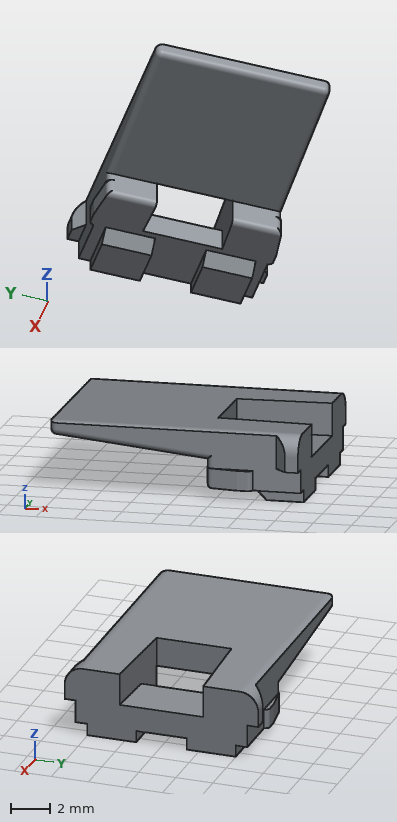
import cadquery as cq

length = 13.1
half_width = 4.64
edge_radius = 0.31

nose_depth = 0.71
fin_root_depth = 1.56
step_x = 8.17
block_depth = 3.03

wing_half_width = 5.23
wing_start_x = 11.83
wing_depth = 1.82
top_radius = 1.0

bump_top_depth = 1.99
bump_half_width = 4.87
bump_peak_x = 9.82
bump_shoulder_x = 10.47
bump_end_x = 10.61
bump_corner_radius = 0.2

window_front_half_width = 2.02
window_back_half_width = 2.25
shelf_x = 10.23
shelf_depth = 1.7

total_depth = 3.65
foot_start_x = 10.55
foot_inner_y = 1.36
foot_outer_y = 4.01


def plan_prism(points, top_depth, bottom_depth):
    """Extrude an XY outline between two depths below the top face."""
    height = bottom_depth - top_depth
    return cq.Workplane("XY").workplane(offset=-bottom_depth).polyline(points).close().extrude(height)


def side_prism(points, y_start, y_end):
    """Extrude an XZ outline between two Y positions."""
    return cq.Workplane("XZ", origin=(0, y_end, 0)).polyline(points).close().extrude(y_end - y_start)


def mirrored(points):
    """Close a +Y half outline with its reflection in the XZ plane."""
    return points + [(x, -y) for x, y in reversed(points)]


def make_upper_body():
    profile = [
        (0, 0),
        (length, 0),
        (length, -bump_top_depth),
        (step_x, -bump_top_depth),
        (step_x, -fin_root_depth),
        (0, -nose_depth),
    ]
    body = side_prism(profile, -half_width, half_width)
    side_limit = half_width - edge_radius
    front_edges = body.edges("|Z").edges(cq.selectors.BoxSelector(
        (-0.13, -half_width - 0.13, -total_depth), (step_x + 0.13, half_width + 0.13, 0.13)))
    nose_edge = body.edges("|Y").edges(cq.selectors.BoxSelector(
        (-0.13, -side_limit, -nose_depth - 0.13), (0.13, side_limit, -nose_depth + 0.13)))
    slope_edges = body.edges("not(|X or |Y or |Z)")
    return body.newObject(front_edges.vals() + nose_edge.vals() + slope_edges.vals()).fillet(edge_radius)


def make_lower_block():
    outline = mirrored([
        (step_x, half_width),
        (bump_peak_x, bump_half_width),
        (bump_shoulder_x, bump_half_width),
        (bump_end_x, half_width),
        (length, half_width),
    ])
    block = plan_prism(outline, bump_top_depth, block_depth)
    for side in (-1, 1):
        corner = (bump_shoulder_x, side * bump_half_width, -block_depth)
        block = block.edges("|Z").edges(cq.NearestToPointSelector(corner)).fillet(bump_corner_radius)
    front_face = block.faces("<X")
    front_edges = front_face.edges("|Z").vals() + front_face.edges("<Z").vals()
    return block.newObject(front_edges).fillet(edge_radius)


def make_wings():
    wing_overhang = wing_half_width - half_width
    outline = mirrored([
        (wing_start_x, half_width),
        (wing_start_x + wing_overhang, wing_half_width),
        (length, wing_half_width),
    ])
    return plan_prism(outline, 0, wing_depth)


def make_rounded_envelope():
    envelope = cq.Workplane("XY").box(
        length, 2 * wing_half_width, total_depth, centered=(False, True, False))
    envelope = envelope.translate((0, 0, -total_depth))
    return envelope.faces(">Z").edges("|X").fillet(top_radius)


def make_window():
    outline = mirrored([(step_x, window_front_half_width), (length, window_back_half_width)])
    opening = plan_prism(outline, 0, block_depth)
    shelf = cq.Workplane("XY").box(
        length - shelf_x, 2 * window_back_half_width, block_depth - shelf_depth, centered=(False, True, False))
    return opening.cut(shelf.translate((shelf_x, 0, -block_depth)))


def make_foot(y_start):
    foot_height = total_depth - block_depth
    profile = [
        (foot_start_x, -block_depth),
        (foot_start_x + foot_height, -total_depth),
        (length, -total_depth),
        (length, -block_depth),
    ]
    return side_prism(profile, y_start, y_start + foot_outer_y - foot_inner_y)


body = make_upper_body().union(make_lower_block()).union(make_wings())
body = body.intersect(make_rounded_envelope()).cut(make_window())
for foot_y in (-foot_outer_y, foot_inner_y):
    body = body.union(make_foot(foot_y))

result = body